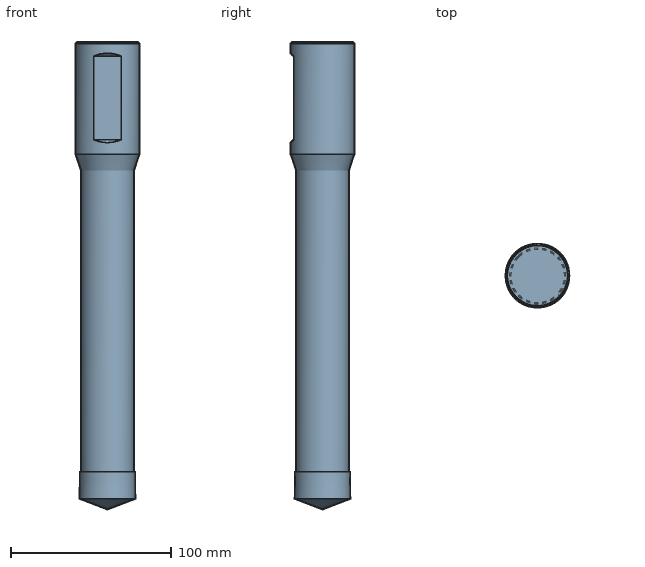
import cadquery as cq

total_height = 291.5

head_diameter = 40.0
shaft_diameter = 33.2
head_length = 70.0
neck_length = 10.2
top_chamfer = 1.2

recess_depth = 1.9
recess_floor_length = 52.0
recess_floor_top = total_height - 9.0

collar_top_diameter = 34.7
collar_bottom_diameter = 35.0
point_height = 6.7
collar_length = 17.0

head_radius = head_diameter / 2
shaft_radius = shaft_diameter / 2
joint_z = point_height + collar_length
head_bottom = total_height - head_length
neck_bottom = head_bottom - neck_length


def revolve_profile(points):
    """Turn a half outline, given as (radius, z) points, about the Z axis."""
    return cq.Workplane("XZ").polyline(points).close().revolve(360, (0, 0, 0), (0, 1, 0))


def make_recess_cutter():
    """Flat-floored cutter whose two ends slope outward at 45 degrees."""
    floor_y = recess_depth - head_radius
    floor_bottom = recess_floor_top - recess_floor_length
    outline = [
        (floor_y, floor_bottom),
        (floor_y, recess_floor_top),
        (-head_radius, recess_floor_top + recess_depth),
        (-head_radius, floor_bottom - recess_depth),
    ]
    return cq.Workplane("YZ").polyline(outline).close().extrude(head_radius, both=True)


def make_rod():
    """Shaft and head, chamfered at the top and recessed on one side."""
    rod = revolve_profile([
        (0, joint_z),
        (shaft_radius, joint_z),
        (shaft_radius, neck_bottom),
        (head_radius, head_bottom),
        (head_radius, total_height - top_chamfer),
        (head_radius - top_chamfer, total_height),
        (0, total_height),
    ])
    return rod.cut(make_recess_cutter())


def make_tip():
    """Pointed tip that butts against the lower end of the shaft."""
    return revolve_profile([
        (0, 0),
        (collar_bottom_diameter / 2, point_height),
        (collar_top_diameter / 2, joint_z),
        (0, joint_z),
    ])


rod = make_rod()
tip = make_tip()

result = cq.Compound.makeCompound([rod.val(), tip.val()])